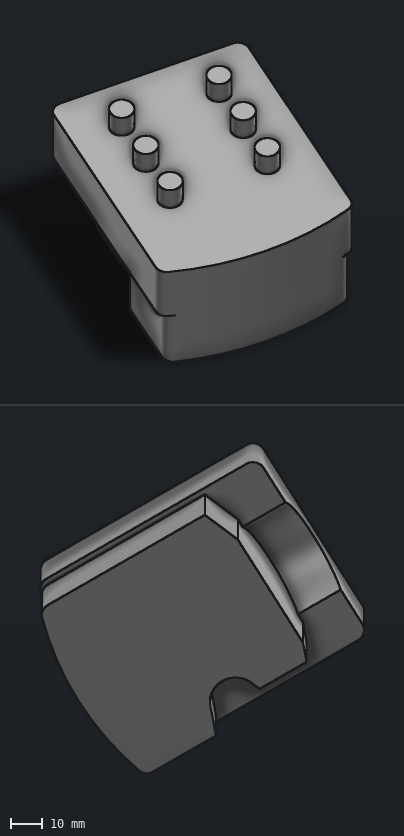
import cadquery as cq
import math

length = 86.1
plate_width = 68.0
plate_height = 20.0
bow_radius = 100.0
corner_radius = 4.0

pin_diameter = 8.0
pin_height = 8.0
pin_first_x = 17.6
pin_pitch_x = 17.5
pin_y = 17.0
pins_per_row = 3

base_height = 21.1
base_left = 15.7
base_half_width = 32.1
front_step = 6.2
left_face_half_width = 19.8
flank_angle = math.radians(20.8)

notch_x = 43.9
notch_y = -25.7
notch_radius = 8.0

arch_radius = 18.2
arch_rise = 11.3


def bowed_outline(left, half_width):
    """Rectangle whose +X end is an arc reaching x = length, drawn at z = 0."""
    side_end = length - bow_radius + math.sqrt(bow_radius**2 - half_width**2)
    return (
        cq.Workplane("XY")
        .moveTo(left, -half_width)
        .lineTo(side_end, -half_width)
        .threePointArc((length, 0), (side_end, half_width))
        .lineTo(left, half_width)
        .close()
    )


def make_plate():
    plate = bowed_outline(0, plate_width / 2).extrude(plate_height)
    plate = plate.edges("|Z").fillet(corner_radius)
    arch = (
        cq.Workplane("YZ")
        .center(0, arch_rise - arch_radius)
        .circle(arch_radius)
        .extrude(base_left)
    )
    return plate.cut(arch)


def make_base():
    slope = math.tan(flank_angle)
    front_y = -base_half_width
    step_y = front_y + front_step
    back_chamfer_x = base_left + (base_half_width - left_face_half_width) * slope
    front_chamfer_x = base_left + (-left_face_half_width - step_y) * slope

    tangent_offset = notch_radius * math.cos(flank_angle)
    tangent_y = notch_y + notch_radius * math.sin(flank_angle)
    notch_left_x = notch_x - tangent_offset - (tangent_y - step_y) * slope
    notch_right_x = notch_x + tangent_offset + (tangent_y - front_y) * slope

    blank = bowed_outline(base_left, base_half_width).extrude(-base_height)
    blank = blank.edges("|Z").edges(">X").fillet(corner_radius)
    back_chamfer = (
        cq.Workplane("XY")
        .moveTo(base_left, left_face_half_width)
        .lineTo(base_left, base_half_width)
        .lineTo(back_chamfer_x, base_half_width)
        .close()
        .extrude(-base_height)
    )
    front_relief = (
        cq.Workplane("XY")
        .moveTo(base_left, front_y)
        .lineTo(base_left, -left_face_half_width)
        .lineTo(front_chamfer_x, step_y)
        .lineTo(notch_left_x, step_y)
        .lineTo(notch_x - tangent_offset, tangent_y)
        .threePointArc((notch_x, notch_y + notch_radius), (notch_x + tangent_offset, tangent_y))
        .lineTo(notch_right_x, front_y)
        .close()
        .extrude(-base_height)
    )
    return blank.cut(back_chamfer).cut(front_relief)


def make_pins():
    centers = [
        (pin_first_x + column * pin_pitch_x, side * pin_y)
        for column in range(pins_per_row)
        for side in (-1, 1)
    ]
    return (
        cq.Workplane("XY", origin=(0, 0, plate_height))
        .pushPoints(centers)
        .circle(pin_diameter / 2)
        .extrude(pin_height)
    )


result = make_plate().union(make_base()).union(make_pins())